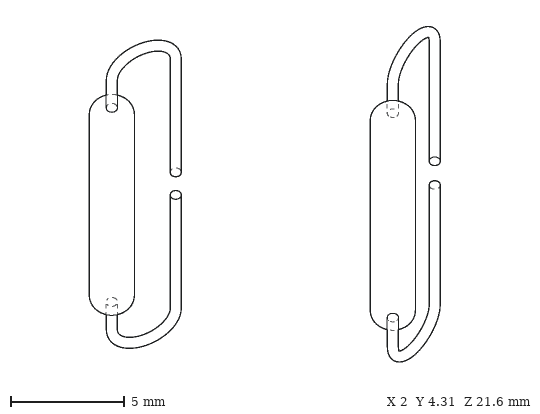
import cadquery as cq

overall_height = 21.55
overall_depth = 4.31
housing_diameter = 2.0
housing_length = 14.0
housing_edge_radius = 0.5
lead_diameter = 0.5
lead_tip_gap = 1.62

lead_radius = lead_diameter / 2
lead_spacing = overall_depth - housing_diameter / 2 - lead_radius
bend_radius = lead_spacing / 2
bend_start_z = overall_height / 2 - lead_radius - bend_radius
housing_end_z = housing_length / 2
lead_tip_z = lead_tip_gap / 2


def make_housing():
    """Cylinder centred on the origin with both end edges rounded."""
    return (
        cq.Workplane("XY")
        .cylinder(housing_length, housing_diameter / 2)
        .faces("<Z or >Z")
        .edges()
        .fillet(housing_edge_radius)
    )


def make_lead(side):
    """Round wire from the housing end, bent half a turn towards +Y; side is +1 (top) or -1 (bottom)."""
    path = (
        cq.Workplane("YZ")
        .moveTo(0, side * housing_end_z)
        .lineTo(0, side * bend_start_z)
        .threePointArc(
            (bend_radius, side * (bend_start_z + bend_radius)),
            (lead_spacing, side * bend_start_z),
        )
        .lineTo(lead_spacing, side * lead_tip_z)
    )
    return cq.Workplane("XY").workplane(offset=side * housing_end_z).circle(lead_radius).sweep(path)


housing = make_housing()
leads = [make_lead(side) for side in (1, -1)]

result = cq.Compound.makeCompound([housing.val(), *[lead.val() for lead in leads]])